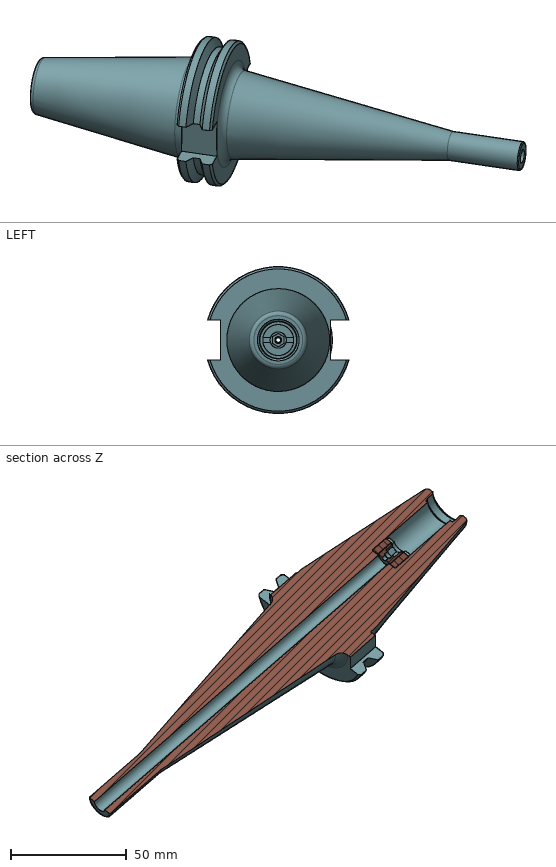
import cadquery as cq
import math


GAUGE_DIAMETER = 44.45
TAPER_LENGTH = 68.25
TAPER_RATE = 7 / 24
END_RADIUS = 2.0

gauge_radius = GAUGE_DIAMETER / 2
end_radius = gauge_radius - TAPER_LENGTH * TAPER_RATE / 2

FLANGE_DIAMETER = 63.5
FLANGE_BACK_GAP = 3.18
FLANGE_FRONT_GAP = 19.05
FLANGE_CHAMFER = 1.0
GROOVE_CENTRE_GAP = 11.11
GROOVE_DIAMETER = 56.0
GROOVE_FLOOR_WIDTH = 3.0
GROOVE_FLANK_ANGLE = 30
KEYWAY_WIDTH = 17.14
SHALLOW_KEYWAY_RADIUS = 25.0
DEEP_KEYWAY_RADIUS = 22.6

flange_radius = FLANGE_DIAMETER / 2
flange_back = TAPER_LENGTH + FLANGE_BACK_GAP
flange_front = TAPER_LENGTH + FLANGE_FRONT_GAP
groove_centre = TAPER_LENGTH + GROOVE_CENTRE_GAP
groove_radius = GROOVE_DIAMETER / 2
groove_floor_half = GROOVE_FLOOR_WIDTH / 2
groove_flank_run = (flange_radius - groove_radius) * math.tan(math.radians(GROOVE_FLANK_ANGLE))
groove_mouth_half = groove_floor_half + groove_flank_run

PROJECTION = 150.0
SHANK_DIAMETER = 12.7
SHANK_LENGTH = 32.0
SHANK_CHAMFER = 0.5
NECK_ANGLE = 7.8
NECK_FILLET = 4.0

total_length = TAPER_LENGTH + PROJECTION
shank_radius = SHANK_DIAMETER / 2
shank_start = total_length - SHANK_LENGTH
neck_slope = math.tan(math.radians(NECK_ANGLE))

MOUTH_DIAMETER = 18.0
PILOT_DIAMETER = 16.28
PILOT_DEPTH = 4.5
THREAD_DIAMETER = 15.88
THREAD_DEPTH = 5.5
PLUG_BORE_DIAMETER = 13.39
PLUG_BORE_DEPTH = 40.0
TOOL_BORE_DIAMETER = 6.0

mouth_radius = MOUTH_DIAMETER / 2
pilot_radius = PILOT_DIAMETER / 2
thread_radius = THREAD_DIAMETER / 2
plug_radius = PLUG_BORE_DIAMETER / 2
tool_bore_radius = TOOL_BORE_DIAMETER / 2
mouth_chamfer = mouth_radius - pilot_radius

PLUG_LENGTH = 10.0
INSERT_DIAMETER = 7.0
INSERT_LENGTH = 8.0
SLOT_WIDTH = 2.0
SLOT_DEPTH = 1.5
SOCKET_ACROSS_FLATS = 5.0
SOCKET_DEPTH = 4.0
SOCKET_SIDES = 6
RECESS_DIAMETER = 3.0
RECESS_DEPTH = 6.0
COOLANT_DIAMETER = 2.0

plug_face = PLUG_BORE_DEPTH - PLUG_LENGTH
insert_face = PLUG_BORE_DEPTH - INSERT_LENGTH
socket_across_corners = SOCKET_ACROSS_FLATS / math.cos(math.pi / SOCKET_SIDES)


def cylinder_along_x(diameter, start, length):
    """Cylinder on the tool axis, running from x = start toward +X."""
    return cq.Workplane("YZ").workplane(offset=start).circle(diameter / 2).extrude(length)


def outer_profile():
    """Half section of the holder's outside, revolved about X."""
    angle = math.radians(NECK_ANGLE)
    neck_at_flange = shank_radius + (shank_start - flange_front) * neck_slope
    fillet_x = flange_front + NECK_FILLET
    fillet_r = neck_at_flange - NECK_FILLET * neck_slope + NECK_FILLET / math.cos(angle)
    mid_angle = math.radians(180 + (90 - NECK_ANGLE) / 2)
    fillet_mid = (
        fillet_x + NECK_FILLET * math.cos(mid_angle),
        fillet_r + NECK_FILLET * math.sin(mid_angle),
    )
    fillet_end = (
        fillet_x - NECK_FILLET * math.sin(angle),
        fillet_r - NECK_FILLET * math.cos(angle),
    )
    return (
        cq.Workplane("XY")
        .moveTo(0, 0)
        .lineTo(0, end_radius)
        .lineTo(TAPER_LENGTH, gauge_radius)
        .lineTo(flange_back, gauge_radius)
        .lineTo(flange_back, flange_radius - FLANGE_CHAMFER)
        .lineTo(flange_back + FLANGE_CHAMFER, flange_radius)
        .lineTo(groove_centre - groove_mouth_half, flange_radius)
        .lineTo(groove_centre - groove_floor_half, groove_radius)
        .lineTo(groove_centre + groove_floor_half, groove_radius)
        .lineTo(groove_centre + groove_mouth_half, flange_radius)
        .lineTo(flange_front - FLANGE_CHAMFER, flange_radius)
        .lineTo(flange_front, flange_radius - FLANGE_CHAMFER)
        .lineTo(flange_front, fillet_r)
        .threePointArc(fillet_mid, fillet_end)
        .lineTo(shank_start, shank_radius)
        .lineTo(total_length - SHANK_CHAMFER, shank_radius)
        .lineTo(total_length, shank_radius - SHANK_CHAMFER)
        .lineTo(total_length, 0)
        .close()
    )


def keyway(side, floor_radius):
    """Block that cuts one drive keyway through the flange; side is +1 or -1 along Y."""
    depth = flange_radius - floor_radius
    return cq.Workplane("XY").box(
        flange_front - flange_back, 2 * depth, KEYWAY_WIDTH, centered=(False, True, True)
    ).translate((flange_back, side * (floor_radius + depth), 0))


def bore():
    """Stepped bore: chamfered mouth, pilot, thread, plug seat and tool bore."""
    return (
        cq.Workplane("XY")
        .moveTo(0, 0)
        .lineTo(0, mouth_radius)
        .lineTo(mouth_chamfer, pilot_radius)
        .lineTo(PILOT_DEPTH, pilot_radius)
        .lineTo(PILOT_DEPTH, thread_radius)
        .lineTo(THREAD_DEPTH, thread_radius)
        .lineTo(THREAD_DEPTH, plug_radius)
        .lineTo(PLUG_BORE_DEPTH, plug_radius)
        .lineTo(PLUG_BORE_DEPTH, tool_bore_radius)
        .lineTo(total_length, tool_bore_radius)
        .lineTo(total_length, 0)
        .close()
        .revolve(360, (0, 0, 0), (1, 0, 0))
    )


def build_holder():
    """Taper, flange, neck and shank in one piece, with keyways and bore."""
    body = outer_profile().revolve(360, (0, 0, 0), (1, 0, 0))
    body = body.faces("<X").edges().fillet(END_RADIUS)
    body = body.cut(keyway(1, SHALLOW_KEYWAY_RADIUS))
    body = body.cut(keyway(-1, DEEP_KEYWAY_RADIUS))
    return body.cut(bore())


def driver_slot():
    """Screwdriver slot across the face of the plug."""
    return cq.Workplane("XY").box(
        SLOT_DEPTH, PLUG_BORE_DIAMETER, SLOT_WIDTH, centered=(False, True, True)
    ).translate((plug_face, 0, 0))


def build_plug():
    """Slotted plug in the bottom of its bore, drilled through for the insert."""
    body = cylinder_along_x(PLUG_BORE_DIAMETER, plug_face, PLUG_LENGTH)
    body = body.cut(cylinder_along_x(INSERT_DIAMETER, plug_face, PLUG_LENGTH))
    return body.cut(driver_slot())


def hex_socket():
    """Hexagon socket in the insert's face, with corners at the top and bottom."""
    socket = (
        cq.Workplane("YZ")
        .workplane(offset=insert_face)
        .polygon(SOCKET_SIDES, socket_across_corners)
        .extrude(SOCKET_DEPTH)
    )
    return socket.rotate((0, 0, 0), (1, 0, 0), 180 / SOCKET_SIDES)


def build_insert():
    """Coolant insert, set back in the plug, with a socket and a stepped through hole."""
    body = cylinder_along_x(INSERT_DIAMETER, insert_face, INSERT_LENGTH)
    body = body.cut(hex_socket())
    body = body.cut(cylinder_along_x(RECESS_DIAMETER, insert_face, RECESS_DEPTH))
    return body.cut(cylinder_along_x(COOLANT_DIAMETER, insert_face, INSERT_LENGTH))


holder = build_holder()
plug = build_plug()
insert = build_insert()
result = cq.Compound.makeCompound([holder.val(), plug.val(), insert.val()])